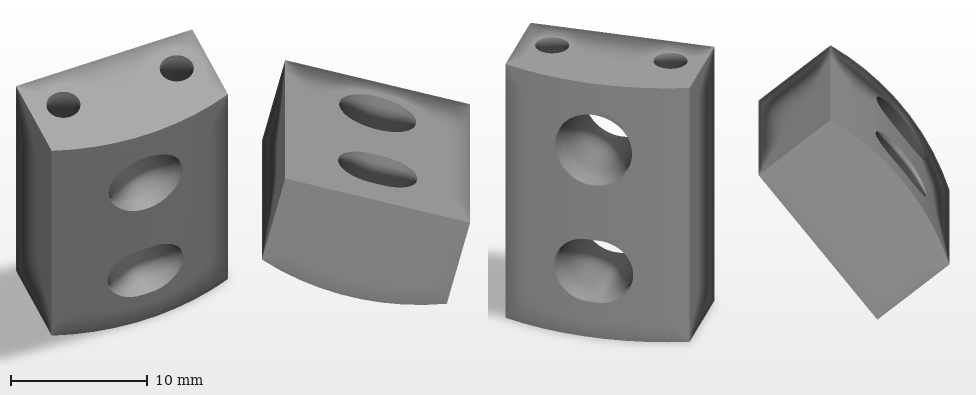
import cadquery as cq
import math

depth = 8.0
width = 14.0
height = 21.0
side_depth = 6.75

bore_diameter = 5.84
bore_height = 15.5
slot_length = 6.0
slot_width = 5.12
slot_height = 5.5

drill_diameter = 2.5
drill_x = 3.0
drill_spacing = 9.0
drill_depth = 8.0
drill_point_angle = 118.0


def make_block():
    """Block on Z = 0 with its flat back at X = 0 and a crowned +X side."""
    half_width = width / 2
    return (
        cq.Workplane("XY")
        .moveTo(0, -half_width)
        .lineTo(side_depth, -half_width)
        .threePointArc((depth, 0), (side_depth, half_width))
        .lineTo(0, half_width)
        .close()
        .extrude(height)
    )


def make_openings():
    """Round bore above a horizontal slot, both running through along X."""
    bore = cq.Workplane("YZ").center(0, bore_height).circle(bore_diameter / 2).extrude(depth)
    slot = cq.Workplane("YZ").center(0, slot_height).slot2D(slot_length, slot_width).extrude(depth)
    return bore.union(slot)


def make_drilled_hole(y):
    """Drilled hole with a conical tip, going down from the top face."""
    radius = drill_diameter / 2
    tip_length = radius / math.tan(math.radians(drill_point_angle / 2))
    profile = (
        cq.Workplane("XZ")
        .polyline([(0, 0), (radius, 0), (radius, -drill_depth), (0, -drill_depth - tip_length)])
        .close()
    )
    hole = profile.revolve(360, (0, 0), (0, 1))
    return hole.translate((drill_x, y, height))


result = make_block().cut(make_openings())
for side in (-1, 1):
    result = result.cut(make_drilled_hole(side * drill_spacing / 2))